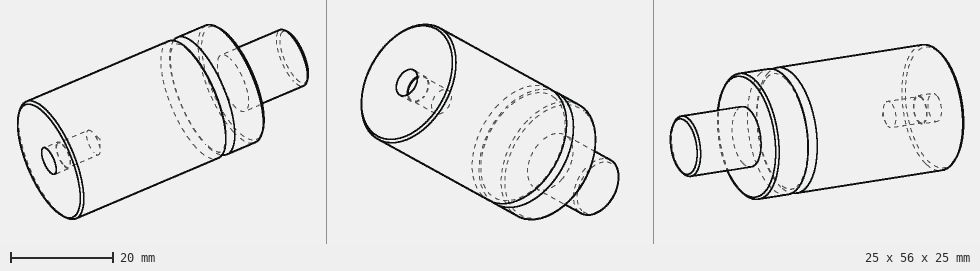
import cadquery as cq
import math

total_length = 56.0
body_length = 42.0
body_radius = 25.0 / 2
pin_radius = 12.0 / 2
edge_chamfer = 0.5

groove_radius = 1.0
groove_from_front = 34.0

hole_radius = 5.2 / 2
hole_depth = 10.1
mouth_radius = 5.6 / 2
mouth_depth = 3.25
drill_point_angle = 118.0

front_y = -total_length / 2
shoulder_y = front_y + body_length


def cylinder_along_y(radius, start_y, length):
    """Solid cylinder on the Y axis, running from start_y towards +Y."""
    return cq.Workplane("XZ", origin=(0, start_y, 0)).circle(radius).extrude(-length)


def make_body():
    return cylinder_along_y(body_radius, front_y, body_length).edges().chamfer(edge_chamfer)


def make_pin():
    pin = cylinder_along_y(pin_radius, shoulder_y, total_length - body_length)
    return pin.faces(">Y").edges().chamfer(edge_chamfer)


def make_groove():
    """Ring of circular section, centred on the body surface."""
    section = cq.Workplane("XY").center(body_radius, front_y + groove_from_front).circle(groove_radius)
    return section.revolve(360, (-body_radius, 0), (-body_radius, 1))


def make_hole():
    """Drilled hole with a slightly wider mouth and a conical bottom."""
    point_length = hole_radius / math.tan(math.radians(drill_point_angle / 2))
    bottom_y = front_y + hole_depth
    profile = (
        cq.Workplane("XY")
        .moveTo(0, front_y)
        .lineTo(mouth_radius, front_y)
        .lineTo(mouth_radius, front_y + mouth_depth)
        .lineTo(hole_radius, front_y + mouth_depth)
        .lineTo(hole_radius, bottom_y)
        .lineTo(0, bottom_y + point_length)
        .close()
    )
    return profile.revolve(360, (0, 0), (0, 1))


result = make_body().union(make_pin()).cut(make_groove()).cut(make_hole())